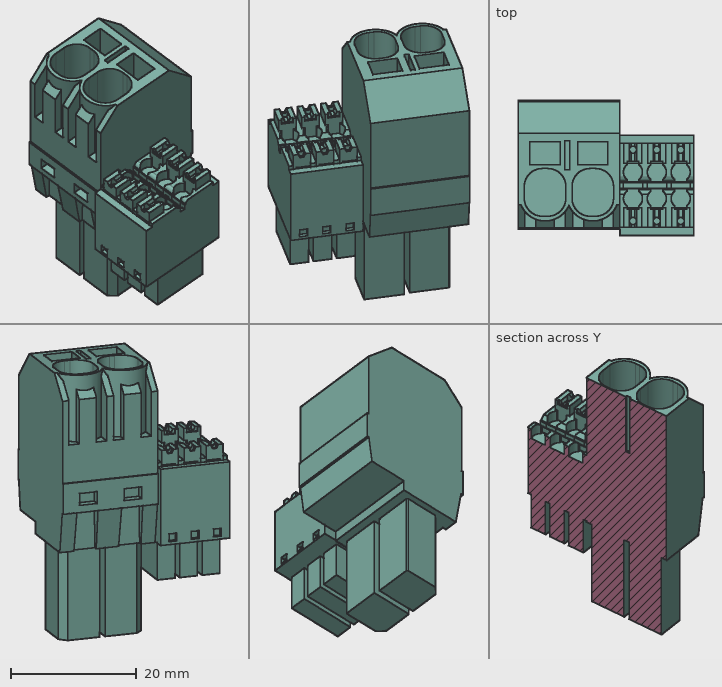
import cadquery as cq


POWER_WIDTH = 16.2
POWER_TOP = 44.7
POWER_FRONT = 1.25
POWER_BACK = 21.28
FRONT_CHAMFER = 3.65
BACK_CHAMFER = 4.95
BAND_PROUD = 0.25
BAND_BOTTOM = 22.3
BAND_TOP = 27.35
TAPER_FRONT_TOP = 1.4
TAPER_FRONT_BOTTOM = 2.5
TAPER_BACK_TOP = 21.25
TAPER_BACK_BOTTOM = 20.55
POWER_BOTTOM = 15.5
STEP_BOTTOM = 17.52
STEP_Y = 13.7

POWER_PITCH = 7.6
POWER_CENTERS = [POWER_WIDTH / 2 + side * POWER_PITCH / 2 for side in (-1, 1)]
FUNNEL_WIDTH = 6.6
FUNNEL_LENGTH = 7.6
FUNNEL_CORNER = 2.85
SHROUD_RADIUS = 4.15
SHROUD_Y = 6.5
FUNNEL_Y = 6.9
FUNNEL_BOTTOM = 33.65
GROOVE_INNER = 1.48
GROOVE_OUTER = 3.2
RELEASE_WIDTH = 4.83
RELEASE_FRONT = 11.25
RELEASE_BACK = 14.95
CODING_SLOT_X = 7.82
CODING_SLOT_WIDTH = 0.75
CODING_SLOT_FRONT = 10.5
CODING_SLOT_BACK = 15.05
POWER_WINDOW_WIDTH = 3.0
POWER_WINDOW_BOTTOM = 23.5
POWER_WINDOW_TOP = 25.5
POWER_WINDOW_DEPTH = 1.45
RECESS_TOP_WIDTH = 3.58
RECESS_BOTTOM_WIDTH = 3.8
RECESS_BACK = 3.15
POWER_POST_WIDTH = 6.55
POWER_POST_FRONT = 4.83
LEFT_POST_BACK = 12.02
RIGHT_POST_BACK = 12.3
POST_FRONT_CHAMFER = 1.15
POST_BACK_CHAMFER = 0.2
POST_SPREAD = 3.75

SIGNAL_RIGHT = 28.0
SIGNAL_WIDTH = SIGNAL_RIGHT - POWER_WIDTH
SIGNAL_DEPTH = 16.0
SIGNAL_MID_Y = SIGNAL_DEPTH / 2
SIGNAL_BOTTOM = 15.7
LIP_TOP = 28.4
LIP_THICKNESS = 1.3
CORE_TOP = 29.05
VALLEY_FLOOR = 28.35
VALLEY_HALF_FLAT = 0.65
FRONT_SLOPE_START = 6.6
BACK_ROUND_RADIUS = 0.7
SLOT_WIDTH = 0.85
SLOT_FLOOR = 27.45
SLOT_POCKET_WIDTH = 3.1
SLOT_POCKET_FLOOR = 27.15

SIGNAL_PITCH = POWER_PITCH / 2
FIRST_SIGNAL_X = 18.3
SIGNAL_CENTERS = [FIRST_SIGNAL_X + i * SIGNAL_PITCH for i in range(3)]
WIRE_HOLE_RADIUS = 1.5
WIRE_HOLE_OFFSET = 2.1
WIRE_HOLE_DEPTH = 1.9
CHANNEL_WIDTH = 1.88
CHANNEL_START = 0.55
SIGNAL_WINDOW_SIZE = 1.3
SIGNAL_WINDOW_BOTTOM = 16.2
SIGNAL_WINDOW_DEPTH = 0.65
SIGNAL_POST_WIDTH = 3.0
SIGNAL_POST_LENGTH = 9.92
SIGNAL_POST_TIP = 9.05

LEVER_WIDTH = 2.85
LEVER_LENGTH = 3.17
LEVER_INNER_OFFSET = SIGNAL_MID_Y - LIP_THICKNESS - LEVER_LENGTH
LEVER_BOTTOM = 24.6
LEVER_TOP = 31.05
GUIDE_TOP_WIDTH = 1.15
GUIDE_FLOOR_WIDTH = 0.6
GUIDE_DEPTH = 0.63
DIMPLE_RADIUS = 0.6
DIMPLE_Y = 1.05
DIMPLE_DEPTH = 1.35
END_NOTCH_LENGTH = 0.3
END_NOTCH_DEPTH = 0.75
TOE_NOTCH_WIDTH = 2.32
TOE_NOTCH_TOP = 28.6
TOE_NOTCH_DEPTH = 0.25


def block(x_range, y_range, z_range):
    """Box between two limits on each axis."""
    lows, highs = zip(x_range, y_range, z_range)
    sizes = [high - low for low, high in zip(lows, highs)]
    return cq.Workplane("XY").box(*sizes, centered=False).translate(lows)


def around(center, width):
    """Limits of a span of the given width about a center."""
    return (center - width / 2, center + width / 2)


def funnel(center_x):
    """Upright rounded opening for the wire of one power pole."""
    return (
        cq.Workplane("XY", origin=(center_x, FUNNEL_Y, FUNNEL_BOTTOM))
        .rect(FUNNEL_WIDTH, FUNNEL_LENGTH)
        .extrude(POWER_TOP - FUNNEL_BOTTOM)
        .edges("|Z")
        .fillet(FUNNEL_CORNER)
    )


def shroud(center_x):
    """Round outer wall of one wire funnel, as a solid cylinder."""
    return (
        cq.Workplane("XY", origin=(center_x, SHROUD_Y, FUNNEL_BOTTOM))
        .circle(SHROUD_RADIUS)
        .extrude(POWER_TOP - FUNNEL_BOTTOM)
    )


def power_block():
    """Side profile with chamfered top, raised band and tapered, stepped foot."""
    profile = [
        (TAPER_FRONT_BOTTOM, POWER_BOTTOM),
        (TAPER_FRONT_TOP, BAND_BOTTOM),
        (POWER_FRONT - BAND_PROUD, BAND_BOTTOM),
        (POWER_FRONT - BAND_PROUD, BAND_TOP),
        (POWER_FRONT, BAND_TOP),
        (POWER_FRONT, POWER_TOP),
        (POWER_BACK - BACK_CHAMFER, POWER_TOP),
        (POWER_BACK, POWER_TOP - BACK_CHAMFER),
        (POWER_BACK, BAND_TOP),
        (POWER_BACK + BAND_PROUD, BAND_TOP),
        (POWER_BACK + BAND_PROUD, BAND_BOTTOM),
        (TAPER_BACK_TOP, BAND_BOTTOM),
        (TAPER_BACK_BOTTOM, STEP_BOTTOM),
        (STEP_Y, STEP_BOTTOM),
        (STEP_Y, POWER_BOTTOM),
    ]
    return cq.Workplane("YZ").polyline(profile).close().extrude(POWER_WIDTH)


def front_relief():
    """Front chamfer and the grooves beside the ribs, both stopping at the round funnel walls."""
    relief = (
        cq.Workplane("YZ")
        .moveTo(POWER_FRONT, POWER_TOP)
        .lineTo(POWER_FRONT + FRONT_CHAMFER, POWER_TOP)
        .lineTo(POWER_FRONT, POWER_TOP - FRONT_CHAMFER)
        .close()
        .extrude(POWER_WIDTH)
    )
    heights = (FUNNEL_BOTTOM, POWER_TOP)
    for center in POWER_CENTERS:
        left = (center - GROOVE_OUTER, center - GROOVE_INNER)
        right = (center + GROOVE_INNER, center + GROOVE_OUTER)
        for span in (left, right):
            relief = relief.union(block(span, (POWER_FRONT, SHROUD_Y), heights))
    for center in POWER_CENTERS:
        relief = relief.cut(shroud(center))
    return relief


def power_openings(center):
    """Wire funnel, release opening, front window and tapered front recess of one power pole."""
    release = block(
        around(center, RELEASE_WIDTH), (RELEASE_FRONT, RELEASE_BACK), (FUNNEL_BOTTOM, POWER_TOP)
    )
    band_front = POWER_FRONT - BAND_PROUD
    window = block(
        around(center, POWER_WINDOW_WIDTH),
        (band_front, band_front + POWER_WINDOW_DEPTH),
        (POWER_WINDOW_BOTTOM, POWER_WINDOW_TOP),
    )
    recess = (
        cq.Workplane("XZ")
        .moveTo(center - RECESS_TOP_WIDTH / 2, BAND_BOTTOM)
        .lineTo(center + RECESS_TOP_WIDTH / 2, BAND_BOTTOM)
        .lineTo(center + RECESS_BOTTOM_WIDTH / 2, POWER_BOTTOM)
        .lineTo(center - RECESS_BOTTOM_WIDTH / 2, POWER_BOTTOM)
        .close()
        .extrude(-RECESS_BACK)
    )
    return funnel(center).union(release).union(window).union(recess)


def coding_slot():
    """Narrow slot between the two release openings."""
    return block(
        around(CODING_SLOT_X, CODING_SLOT_WIDTH),
        (CODING_SLOT_FRONT, CODING_SLOT_BACK),
        (FUNNEL_BOTTOM, POWER_TOP),
    )


def power_post(side, back):
    """Post on one side of the power block, chamfered along its outer front edge; side is -1 or 1."""
    center = POWER_WIDTH / 2 + side * POST_SPREAD
    post = block(around(center, POWER_POST_WIDTH), (POWER_POST_FRONT, back), (0, POWER_BOTTOM))
    outer = ">X" if side > 0 else "<X"
    return post.faces(outer).edges("|Z and <Y").chamfer(POST_FRONT_CHAMFER)


def power_posts():
    """Left post, also chamfered along its outer back edge, and the slightly deeper right post."""
    left = power_post(-1, LEFT_POST_BACK).faces("<X").edges("|Z and >Y").chamfer(POST_BACK_CHAMFER)
    return left.add(power_post(1, RIGHT_POST_BACK)).combine()


def signal_block():
    """Block with a raised core, split lengthwise by a valley."""
    lips = block((POWER_WIDTH, SIGNAL_RIGHT), (0, SIGNAL_DEPTH), (SIGNAL_BOTTOM, LIP_TOP))
    core = block(
        (POWER_WIDTH, SIGNAL_RIGHT),
        (LIP_THICKNESS, SIGNAL_DEPTH - LIP_THICKNESS),
        (SIGNAL_BOTTOM, CORE_TOP),
    )
    valley_front = SIGNAL_MID_Y - VALLEY_HALF_FLAT
    valley_back = SIGNAL_MID_Y + VALLEY_HALF_FLAT
    valley = (
        cq.Workplane("YZ", origin=(POWER_WIDTH, 0, 0))
        .moveTo(FRONT_SLOPE_START, CORE_TOP)
        .lineTo(valley_front, VALLEY_FLOOR)
        .lineTo(valley_back, VALLEY_FLOOR)
        .radiusArc((valley_back + BACK_ROUND_RADIUS, VALLEY_FLOOR + BACK_ROUND_RADIUS), BACK_ROUND_RADIUS)
        .close()
        .extrude(SIGNAL_WIDTH)
    )
    return lips.union(core).cut(valley)


def middle_slot():
    """Slot along the valley floor, deeper between each pair of poles."""
    depths = around(SIGNAL_MID_Y, SLOT_WIDTH)
    slot = block((POWER_WIDTH, SIGNAL_RIGHT), depths, (SLOT_FLOOR, CORE_TOP))
    for center in SIGNAL_CENTERS:
        pocket = block(around(center, SLOT_POCKET_WIDTH), depths, (SLOT_POCKET_FLOOR, CORE_TOP))
        slot = slot.union(pocket)
    return slot


def signal_openings(center):
    """Outer windows, wire holes and their channels to the levers, for a front and back pole pair."""
    openings = cq.Workplane("XY")
    heights = (SIGNAL_WINDOW_BOTTOM, SIGNAL_WINDOW_BOTTOM + SIGNAL_WINDOW_SIZE)
    front = (0, SIGNAL_WINDOW_DEPTH)
    back = (SIGNAL_DEPTH - SIGNAL_WINDOW_DEPTH, SIGNAL_DEPTH)
    for depths in (front, back):
        openings = openings.add(block(around(center, SIGNAL_WINDOW_SIZE), depths, heights))
    for side in (-1, 1):
        origin = (center, SIGNAL_MID_Y + side * WIRE_HOLE_OFFSET, CORE_TOP)
        hole = cq.Workplane("XY", origin=origin).circle(WIRE_HOLE_RADIUS).extrude(-WIRE_HOLE_DEPTH)
        channel_ends = sorted(
            (SIGNAL_MID_Y + side * CHANNEL_START, SIGNAL_MID_Y + side * LEVER_INNER_OFFSET)
        )
        channel = block(
            around(center, CHANNEL_WIDTH), channel_ends, (CORE_TOP - WIRE_HOLE_DEPTH, CORE_TOP)
        )
        openings = openings.add(hole.union(channel))
    return openings.combine()


def signal_post(center):
    """Plain post below one front and back pole pair."""
    return block(
        around(center, SIGNAL_POST_WIDTH),
        around(SIGNAL_MID_Y, SIGNAL_POST_LENGTH),
        (SIGNAL_POST_TIP, SIGNAL_BOTTOM),
    )


def lever_blank(center):
    """Plain front-row lever, which is also the shape of its pocket."""
    return block(
        around(center, LEVER_WIDTH),
        (LIP_THICKNESS, LIP_THICKNESS + LEVER_LENGTH),
        (LEVER_BOTTOM, LEVER_TOP),
    )


def to_back_row(shape):
    """Mirror a front-row shape across the middle of the signal block."""
    return shape.mirror("XZ", (0, SIGNAL_MID_Y, 0))


def front_lever(center):
    """Release lever with a tapered tool guide, a dimple and shallow notches at both ends."""
    guide_floor = LEVER_TOP - GUIDE_DEPTH
    guide = (
        cq.Workplane("XZ", origin=(center, LIP_THICKNESS, 0))
        .moveTo(-GUIDE_TOP_WIDTH / 2, LEVER_TOP)
        .lineTo(GUIDE_TOP_WIDTH / 2, LEVER_TOP)
        .lineTo(GUIDE_FLOOR_WIDTH / 2, guide_floor)
        .lineTo(-GUIDE_FLOOR_WIDTH / 2, guide_floor)
        .close()
        .extrude(-LEVER_LENGTH)
    )
    dimple = (
        cq.Workplane("XY", origin=(center, LIP_THICKNESS + DIMPLE_Y, LEVER_TOP))
        .circle(DIMPLE_RADIUS)
        .extrude(-DIMPLE_DEPTH)
    )
    inner_end = LIP_THICKNESS + LEVER_LENGTH
    end_notch = block(
        around(center, CHANNEL_WIDTH),
        (inner_end - END_NOTCH_LENGTH, inner_end),
        (LEVER_TOP - END_NOTCH_DEPTH, LEVER_TOP),
    )
    left_side = center - LEVER_WIDTH / 2
    toe_notch = block(
        (left_side, left_side + TOE_NOTCH_WIDTH),
        (LIP_THICKNESS, LIP_THICKNESS + TOE_NOTCH_DEPTH),
        (LIP_TOP, TOE_NOTCH_TOP),
    )
    return lever_blank(center).cut(guide).cut(dimple).cut(end_notch).cut(toe_notch)


def connector_housing():
    """Power and signal blocks with their posts, as one piece."""
    body = power_block().cut(front_relief()).cut(coding_slot())
    for center in POWER_CENTERS:
        body = body.cut(power_openings(center))
    body = body.union(power_posts())
    signal = signal_block().cut(middle_slot())
    for center in SIGNAL_CENTERS:
        signal = signal.cut(signal_openings(center)).union(signal_post(center))
    for center in SIGNAL_CENTERS:
        pocket = lever_blank(center)
        signal = signal.cut(pocket).cut(to_back_row(pocket))
    return body.union(signal)


housing = connector_housing()
levers = []
for pole_x in SIGNAL_CENTERS:
    lever = front_lever(pole_x)
    levers.extend(lever.solids().vals())
    levers.extend(to_back_row(lever).solids().vals())

result = cq.Compound.makeCompound([*housing.solids().vals(), *levers])